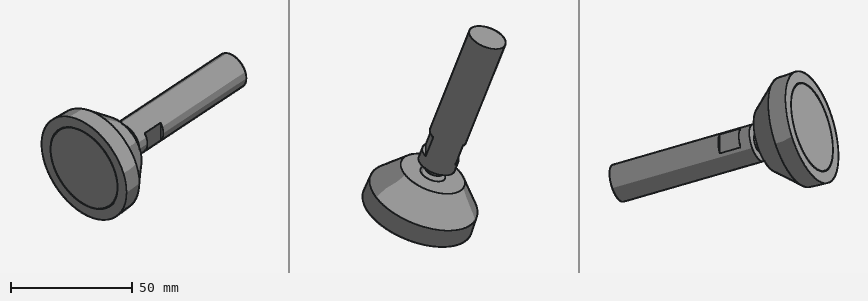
import cadquery as cq
import math

total_length = 90.0

base_diameter = 48.0
rim_diameter = 47.2
rim_height = 8.2
foot_top_diameter = 28.0
foot_height = 20.0
pad_diameter = 37.5
groove_outer_diameter = 38.0
groove_depth = 0.9

shank_diameter = 16.0
shank_start = 25.0
neck_diameter = 7.8
ball_diameter = 13.1
ball_exposed_height = 1.6
across_flats = 13.0
flats_start = 29.9
flats_length = 9.6

neck_start = foot_height + ball_exposed_height
neck_radius = neck_diameter / 2
shank_radius = shank_diameter / 2
ball_radius = ball_diameter / 2
ball_centre = neck_start - math.sqrt(ball_radius**2 - neck_radius**2)


def revolve_about_y(profile):
    """Full turn of a closed XY profile about the Y axis."""
    return profile.close().revolve(360, (0, 0, 0), (0, 1, 0))


def cylinder_along_y(diameter, start, end):
    """Cylinder on the Y axis between two heights."""
    return cq.Workplane("XZ", origin=(0, start, 0)).circle(diameter / 2).extrude(start - end)


def make_ball():
    """Ball that fills the socket of the foot."""
    ball_bottom = ball_centre - ball_radius
    ball_top = ball_centre + ball_radius
    half_disc = (
        cq.Workplane("XY")
        .moveTo(0, ball_bottom)
        .threePointArc((ball_radius, ball_centre), (0, ball_top))
    )
    return revolve_about_y(half_disc)


def make_turned_spindle():
    """Ball, neck and shank as one turned shape."""
    profile = (
        cq.Workplane("XY")
        .moveTo(0, ball_centre - ball_radius)
        .threePointArc((ball_radius, ball_centre), (neck_radius, neck_start))
        .lineTo(neck_radius, shank_start)
        .lineTo(shank_radius, shank_start)
        .lineTo(shank_radius, total_length)
        .lineTo(0, total_length)
    )
    return revolve_about_y(profile)


def make_spindle():
    """Ball-ended spindle with two wrench flats, facing -X and +X."""
    spindle = make_turned_spindle()
    flat_depth = (shank_diameter - across_flats) / 2
    flat_cutter = cq.Workplane("XY").box(flat_depth, flats_length, shank_diameter)
    for side in (-1, 1):
        flat_x = side * (across_flats + flat_depth) / 2
        spindle = spindle.cut(flat_cutter.translate((flat_x, flats_start + flats_length / 2, 0)))
    return spindle


def make_foot():
    """Round foot with a ball socket on top and a narrow ring groove in its underside."""
    profile = (
        cq.Workplane("XY")
        .moveTo(0, 0)
        .lineTo(base_diameter / 2, 0)
        .lineTo(rim_diameter / 2, rim_height)
        .lineTo(foot_top_diameter / 2, foot_height)
        .lineTo(0, foot_height)
    )
    pad_core = cylinder_along_y(pad_diameter, 0, groove_depth)
    ring_groove = cylinder_along_y(groove_outer_diameter, 0, groove_depth).cut(pad_core)
    return revolve_about_y(profile).cut(ring_groove).cut(make_ball())


foot = make_foot()
spindle = make_spindle()

result = cq.Compound.makeCompound([foot.val(), spindle.val()])